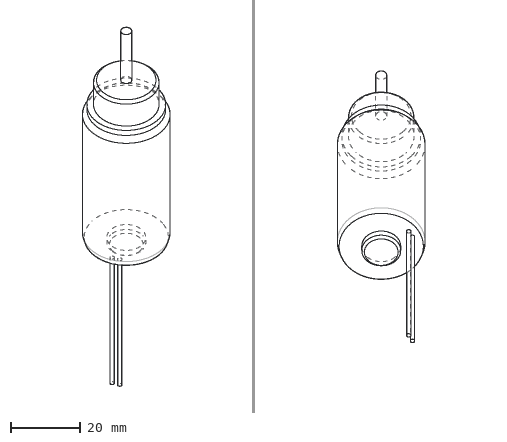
import cadquery as cq

total_height = 128.3

shaft_length = 19.0
boss_height = 9.4
collar_height = 1.9
body_height = 49.5
nub_height = 2.7

shaft_diameter = 3.2
boss_diameter = 19.0
collar_diameter = 22.8
body_diameter = 25.4
nub_diameter = 11.3

boss_chamfer = 0.9
nub_chamfer = 0.8
body_bevel_height = 1.9
body_bottom_inset = 0.5

wire_diameter = 1.3
wire_spacing = 2.3
wire_offset = 9.6

boss_top = total_height - shaft_length
collar_top = boss_top - boss_height
body_top = collar_top - collar_height
body_bottom = body_top - body_height


def cylinder(diameter, bottom, height, x=0, y=0):
    """Upright cylinder starting at the given level."""
    return cq.Workplane("XY", origin=(x, y, bottom)).circle(diameter / 2).extrude(height)


def make_body():
    """Main case: a revolved barrel, bevelled to the collar above and slightly drawn in below."""
    radius = body_diameter / 2
    profile = [
        (0, body_bottom),
        (radius - body_bottom_inset, body_bottom),
        (radius, body_bottom + body_bevel_height),
        (radius, body_top - body_bevel_height),
        (collar_diameter / 2, body_top),
        (0, body_top),
    ]
    return cq.Workplane("XZ").polyline(profile).close().revolve(360, (0, 0, 0), (0, 1, 0))


collar = cylinder(collar_diameter, body_top, collar_height)
boss = cylinder(boss_diameter, collar_top, boss_height).faces(">Z").chamfer(boss_chamfer)
shaft = cylinder(shaft_diameter, boss_top, shaft_length)
nub = cylinder(nub_diameter, body_bottom - nub_height, nub_height).faces("<Z").chamfer(nub_chamfer)

result = make_body().union(collar).union(boss).union(shaft).union(nub)

for side in (-1, 1):
    wire = cylinder(wire_diameter, 0, body_bottom, side * wire_spacing / 2, -wire_offset)
    result = result.union(wire)